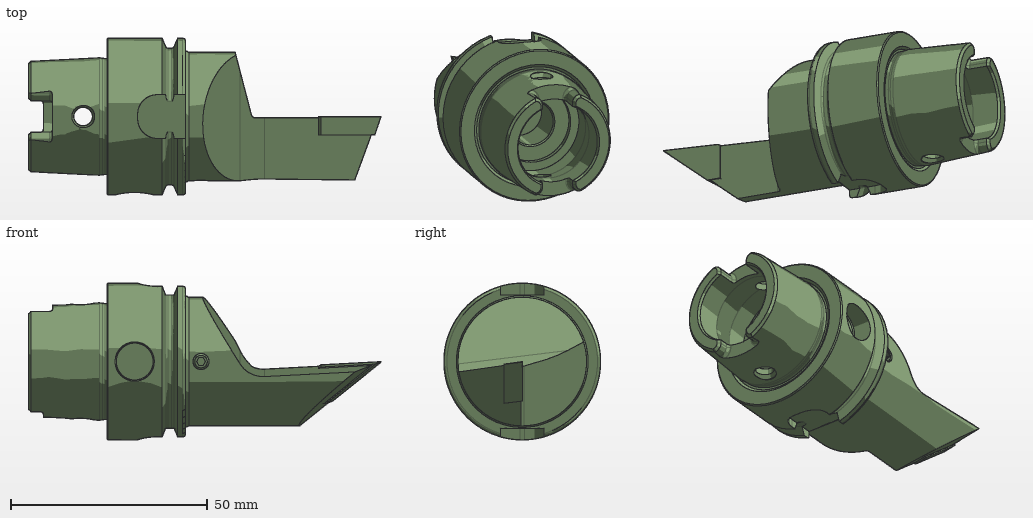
import cadquery as cq
import math

OVERSIZE = 100.0
PICK_MARGIN = 0.1

SHANK_LENGTH = 20.0
TAPER_BIG_RADIUS = 15.0
TAPER_SMALL_RADIUS = 14.1
TAPER_END = 1.9
MOUTH_CHAMFER_LENGTH = 0.7
MOUTH_CHAMFER_HEIGHT = 0.55
RELIEF_RADIUS = 14.8
RELIEF_START = 0.5
RELIEF_BLEND_START = 1.1
RELIEF_BLEND_RADIUS = 14.9
FACE_RELIEF_OUTER = 16.1
FACE_RELIEF_INNER = 15.4
FACE_RELIEF_DEPTH = 0.4

FLANGE_RADIUS = 20.0
FLANGE_LENGTH = 20.1
FLANGE_CHAMFER = 0.3
FLANGE_REAR_FILLET = 0.8
GROOVE_RADIUS = 17.45
GROOVE_START = 14.1
GROOVE_FLOOR_START = 15.17
GROOVE_FLOOR_END = 16.93
GROOVE_FILLET = 0.6
GROOVE_END = 18.05

NECK_RADIUS = 16.4
NECK_COLLAR = 0.4
NECK_COLLAR_LENGTH = 0.8

BORE_RADIUS = 10.6
BORE_MOUTH_CHAMFER_LENGTH = 0.65
BORE_MOUTH_CHAMFER_HEIGHT = 0.4
CLAMP_RECESS_RADIUS = 12.0
CLAMP_CONE_START_X = -12.4
CLAMP_CONE_END_X = -5.2
CLAMP_RECESS_END_X = 0.5
INNER_BORE_RADIUS = 9.8
BORE_FLOOR_X = 2.0
COOLANT_THREAD_RADIUS = 5.7
COOLANT_THREAD_CHAMFER = 0.35
COOLANT_THREAD_FLOOR_X = 12.0
DRILL_POINT_RADIUS = 2.6
DRILL_POINT_ANGLE = 118.0

SLOT_HALF_WIDTH = 4.0
SLOT_LIP_RADIUS = 2.0
SLOT_LIP_Z = 12.8
SLOT_FLOOR_FILLET = 0.8
SLOT_MOUTH_CHAMFER = 0.7
UPPER_SLOT_DEPTH = 6.2
LOWER_SLOT_DEPTH = 3.8

CROSS_HOLE_X = -6.05
CROSS_HOLE_RADIUS = 2.35
CROSS_HOLE_SINK_RADIUS = 2.95
CROSS_HOLE_SINK_DEPTH = 1.1
CROSS_HOLE_SINK_TOP = 14.75

KEY_SEAT_Z = 17.0
KEY_SEAT_HALF_WIDTH = 5.58
KEY_SEAT_END_X = 7.85
KEY_SEAT_CORNER_RADIUS = 5.0

POCKET_X = 7.1
POCKET_RADIUS = 5.0
POCKET_FLOOR_Y = -14.7
POCKET_FLOOR_CHAMFER = 0.3

TIP_X = 69.9
ARM_TILT = 7.0
ARM_RAKE = 3.0
RAMP_ANGLE = 57.6
RAMP_FOOT_X = 36.15
RAMP_FILLET = 7.0
ARM_SIDE_Y = -0.3
SHOULDER_TOP_X = 32.7
SHOULDER_FOOT_X = 37.05
SHOULDER_FILLET = 1.0
END_SLOPE_Y = 0.19
END_SLOPE_Z = 1.24

INSERT_WIDTH = 4.7
INSERT_RISE = 0.3
INSERT_OVERHANG = 0.55
INSERT_LAND = 0.2
INSERT_BACK_X = 53.95
INSERT_BACK_BEVEL = 0.65
INSERT_FLOOR = -10.0

SCREW_X = 24.0
SCREW_RADIUS = 2.05
SCREW_TOP_Y = -16.2
SCREW_LENGTH = 4.0
SCREW_CHAMFER = 0.45
SOCKET_ACROSS_FLATS = 1.95
SOCKET_DEPTH = 1.6


def turned(points):
    """Revolve an (x, radius) outline about the tool axis."""
    return cq.Workplane("XY").polyline(points).close().revolve(360, (0, 0, 0), (1, 0, 0))


def bore_on_side(x, radius, start_y, length):
    """Cylinder along +Y that starts at start_y."""
    plane = cq.Plane(origin=(x, start_y, 0), xDir=(1, 0, 0), normal=(0, 1, 0))
    return cq.Workplane(plane).circle(radius).extrude(length)


def arm_plane():
    """Section plane of the arm, square to the line about which its top face is rolled."""
    tilt = math.radians(ARM_TILT)
    return cq.Plane(origin=(0, 0, 0), xDir=(1, 0, 0), normal=(0, -math.cos(tilt), -math.sin(tilt)))


def top_height(x, rise=0.0):
    """Height of the arm's top face in the arm section plane."""
    return (x - TIP_X) * math.tan(math.radians(ARM_RAKE)) - INSERT_RISE + rise


def beyond_plane(tip_x, slope_y, slope_z):
    """Block beyond the plane x = tip_x + slope_y * y + slope_z * z."""
    plane = cq.Plane(origin=(tip_x, 0, 0), xDir=(slope_y, 1, 0), normal=(1, -slope_y, -slope_z))
    return cq.Workplane(plane).rect(OVERSIZE, OVERSIZE).extrude(OVERSIZE)


def holder_blank():
    neck_start = FLANGE_LENGTH + NECK_COLLAR_LENGTH
    body = turned([
        (-SHANK_LENGTH, 0),
        (-SHANK_LENGTH, TAPER_SMALL_RADIUS - MOUTH_CHAMFER_HEIGHT),
        (-SHANK_LENGTH + MOUTH_CHAMFER_LENGTH, TAPER_SMALL_RADIUS),
        (-TAPER_END, TAPER_BIG_RADIUS),
        (-RELIEF_BLEND_START, RELIEF_BLEND_RADIUS),
        (-RELIEF_START, RELIEF_RADIUS),
        (FACE_RELIEF_DEPTH, RELIEF_RADIUS),
        (FACE_RELIEF_DEPTH, FACE_RELIEF_INNER),
        (0, FACE_RELIEF_OUTER),
        (0, FLANGE_RADIUS - FLANGE_CHAMFER),
        (FLANGE_CHAMFER, FLANGE_RADIUS),
        (GROOVE_START, FLANGE_RADIUS),
        (GROOVE_FLOOR_START, GROOVE_RADIUS),
        (GROOVE_FLOOR_END, GROOVE_RADIUS),
        (GROOVE_END, FLANGE_RADIUS),
        (FLANGE_LENGTH, FLANGE_RADIUS),
        (FLANGE_LENGTH, NECK_RADIUS + NECK_COLLAR),
        (neck_start, NECK_RADIUS),
        (TIP_X, NECK_RADIUS),
        (TIP_X, 0),
    ])
    groove_edges = cq.selectors.BoxSelector(
        (GROOVE_FLOOR_START - PICK_MARGIN, -1, -1), (GROOVE_FLOOR_END + PICK_MARGIN, 1, 1)
    )
    body = body.edges(groove_edges).fillet(GROOVE_FILLET)
    rear_edge = cq.selectors.BoxSelector(
        (FLANGE_LENGTH - PICK_MARGIN, -1, -1), (FLANGE_LENGTH + PICK_MARGIN, 1, 1)
    )
    rear_rim = body.edges(rear_edge).edges(cq.selectors.RadiusNthSelector(-1))
    return rear_rim.fillet(FLANGE_REAR_FILLET)


def shank_bore():
    point_depth = DRILL_POINT_RADIUS / math.tan(math.radians(DRILL_POINT_ANGLE / 2))
    return turned([
        (-SHANK_LENGTH, 0),
        (-SHANK_LENGTH, BORE_RADIUS + BORE_MOUTH_CHAMFER_HEIGHT),
        (-SHANK_LENGTH + BORE_MOUTH_CHAMFER_LENGTH, BORE_RADIUS),
        (CLAMP_CONE_START_X, BORE_RADIUS),
        (CLAMP_CONE_END_X, CLAMP_RECESS_RADIUS),
        (CLAMP_RECESS_END_X, CLAMP_RECESS_RADIUS),
        (CLAMP_RECESS_END_X, INNER_BORE_RADIUS),
        (BORE_FLOOR_X, INNER_BORE_RADIUS),
        (BORE_FLOOR_X, COOLANT_THREAD_RADIUS + COOLANT_THREAD_CHAMFER),
        (BORE_FLOOR_X + COOLANT_THREAD_CHAMFER, COOLANT_THREAD_RADIUS),
        (COOLANT_THREAD_FLOOR_X, COOLANT_THREAD_RADIUS),
        (COOLANT_THREAD_FLOOR_X, DRILL_POINT_RADIUS),
        (COOLANT_THREAD_FLOOR_X + point_depth, 0),
    ])


def slot_outline(x, growth):
    """Drive slot section with rounded lips, grown outward into the walls by a given amount."""
    half_width = SLOT_HALF_WIDTH + growth
    lip_radius = SLOT_LIP_RADIUS - growth
    lip_side = half_width + lip_radius
    lip_foot = SLOT_LIP_Z - SLOT_LIP_RADIUS
    lip_top = lip_foot + lip_radius
    bend = lip_radius * math.sqrt(0.5)
    outside = FLANGE_RADIUS
    return (
        cq.Workplane("YZ", origin=(x, 0, 0))
        .moveTo(-half_width, 0)
        .lineTo(half_width, 0)
        .lineTo(half_width, lip_foot)
        .threePointArc((lip_side - bend, lip_foot + bend), (lip_side, lip_top))
        .lineTo(outside, lip_top)
        .lineTo(outside, outside)
        .lineTo(-outside, outside)
        .lineTo(-outside, lip_top)
        .lineTo(-lip_side, lip_top)
        .threePointArc((bend - lip_side, lip_foot + bend), (-half_width, lip_foot))
        .close()
    )


def drive_slot(depth):
    """Slot cut in from the shank mouth, bevelled at the mouth and filleted at its floor."""
    bevel_end_x = SLOT_MOUTH_CHAMFER - SHANK_LENGTH
    mouth = slot_outline(-SHANK_LENGTH, SLOT_MOUTH_CHAMFER).wire().val()
    throat = slot_outline(bevel_end_x, 0).wire().val()
    bevel = cq.Solid.makeLoft([mouth, throat], True)
    slot = slot_outline(-SHANK_LENGTH, 0).extrude(depth).faces(">X").edges().fillet(SLOT_FLOOR_FILLET)
    return slot.union(bevel)


def cross_hole():
    """Hole along Z through both shank walls, countersunk at each end."""
    outside = FLANGE_RADIUS
    hole = (
        cq.Workplane("XY", origin=(CROSS_HOLE_X, 0, -outside))
        .circle(CROSS_HOLE_RADIUS)
        .extrude(2 * outside)
    )
    sink = (
        cq.Workplane("XY", origin=(CROSS_HOLE_X, 0, CROSS_HOLE_SINK_TOP - CROSS_HOLE_SINK_DEPTH))
        .circle(CROSS_HOLE_RADIUS)
        .workplane(offset=CROSS_HOLE_SINK_DEPTH)
        .circle(CROSS_HOLE_SINK_RADIUS)
        .loft()
        .faces(">Z")
        .wires()
        .toPending()
        .extrude(outside - CROSS_HOLE_SINK_TOP)
    )
    return hole.union(sink).union(sink.mirror("XY"))


def key_seat():
    """Flat-bottomed seat with a rounded end, open toward the arm."""
    length = FLANGE_LENGTH - KEY_SEAT_END_X
    return (
        cq.Workplane("XY", origin=(KEY_SEAT_END_X + length / 2, 0, KEY_SEAT_Z))
        .rect(length, 2 * KEY_SEAT_HALF_WIDTH)
        .extrude(FLANGE_RADIUS)
        .edges("|Z and <X")
        .fillet(KEY_SEAT_CORNER_RADIUS)
    )


def side_pocket():
    length = FLANGE_RADIUS + POCKET_FLOOR_Y
    pocket = bore_on_side(POCKET_X, POCKET_RADIUS, -FLANGE_RADIUS, length)
    return pocket.faces(">Y").edges().chamfer(POCKET_FLOOR_CHAMFER)


def above_arm():
    """Everything above the ramp and the arm's top face."""
    foot_edge = cq.selectors.BoxSelector(
        (RAMP_FOOT_X - PICK_MARGIN, -OVERSIZE, -OVERSIZE),
        (RAMP_FOOT_X + PICK_MARGIN, OVERSIZE, OVERSIZE),
    )
    foot_height = top_height(RAMP_FOOT_X)
    ramp_height = OVERSIZE * math.tan(math.radians(RAMP_ANGLE))
    far_x = RAMP_FOOT_X + OVERSIZE
    return (
        cq.Workplane(arm_plane())
        .moveTo(RAMP_FOOT_X - OVERSIZE, foot_height + ramp_height)
        .lineTo(RAMP_FOOT_X, foot_height)
        .lineTo(far_x, top_height(far_x))
        .lineTo(far_x, foot_height + ramp_height)
        .close()
        .extrude(OVERSIZE, both=True)
        .edges(foot_edge)
        .fillet(RAMP_FILLET)
    )


def beside_arm():
    """Everything on the +Y side of the arm, back to the sloped shoulder."""
    slope = (SHOULDER_TOP_X - SHOULDER_FOOT_X) / (NECK_RADIUS - ARM_SIDE_Y)
    return (
        cq.Workplane("XY", origin=(0, 0, -OVERSIZE / 2))
        .moveTo(SHOULDER_FOOT_X, ARM_SIDE_Y)
        .lineTo(OVERSIZE, ARM_SIDE_Y)
        .lineTo(OVERSIZE, FLANGE_RADIUS)
        .lineTo(SHOULDER_FOOT_X + slope * (FLANGE_RADIUS - ARM_SIDE_Y), FLANGE_RADIUS)
        .close()
        .extrude(OVERSIZE)
        .edges("|Z")
        .edges("<Y")
        .edges("<X")
        .fillet(SHOULDER_FILLET)
    )


def make_insert():
    bevel_top_x = INSERT_BACK_X + INSERT_BACK_BEVEL
    far_x = TIP_X + INSERT_WIDTH
    prism = (
        cq.Workplane(arm_plane())
        .moveTo(INSERT_BACK_X, INSERT_FLOOR)
        .lineTo(INSERT_BACK_X, top_height(INSERT_BACK_X))
        .lineTo(bevel_top_x, top_height(bevel_top_x, INSERT_RISE))
        .lineTo(far_x, top_height(far_x, INSERT_RISE))
        .lineTo(far_x, INSERT_FLOOR)
        .close()
        .extrude(OVERSIZE, both=True)
    )
    width_slab = (
        cq.Workplane("XY")
        .box(2 * OVERSIZE, INSERT_WIDTH, OVERSIZE)
        .translate((0, -INSERT_WIDTH / 2, 0))
    )
    land_slope_y = END_SLOPE_Y + END_SLOPE_Z * math.tan(math.radians(ARM_TILT))
    end_relief = beyond_plane(TIP_X + INSERT_LAND, END_SLOPE_Y, END_SLOPE_Z)
    land = beyond_plane(TIP_X, land_slope_y, 0)
    return prism.intersect(width_slab).cut(end_relief).cut(land)


def make_screw():
    socket_plane = cq.Plane(origin=(SCREW_X, SCREW_TOP_Y, 0), xDir=(1, 0, 0), normal=(0, 1, 0))
    socket = (
        cq.Workplane(socket_plane)
        .polygon(6, SOCKET_ACROSS_FLATS / math.cos(math.pi / 6))
        .extrude(SOCKET_DEPTH)
    )
    shaft = bore_on_side(SCREW_X, SCREW_RADIUS, SCREW_TOP_Y, SCREW_LENGTH)
    return shaft.faces("<Y").edges().chamfer(SCREW_CHAMFER).cut(socket)


insert = make_insert()
screw = make_screw()
screw_floor_y = SCREW_TOP_Y + SCREW_LENGTH
screw_hole = bore_on_side(SCREW_X, SCREW_RADIUS, -FLANGE_RADIUS, FLANGE_RADIUS + screw_floor_y)

holder = holder_blank().cut(shank_bore())
holder = holder.cut(drive_slot(UPPER_SLOT_DEPTH))
holder = holder.cut(drive_slot(LOWER_SLOT_DEPTH).mirror("XY"))
holder = holder.cut(cross_hole())
for seat in (key_seat(), key_seat().mirror("XY")):
    holder = holder.cut(seat)
holder = holder.cut(side_pocket()).cut(screw_hole)
holder = holder.cut(above_arm()).cut(beside_arm())
arm_end_x = TIP_X + INSERT_LAND - INSERT_OVERHANG
holder = holder.cut(beyond_plane(arm_end_x, END_SLOPE_Y, END_SLOPE_Z))
holder = holder.cut(insert)

result = cq.Compound.makeCompound([holder.val(), insert.val(), screw.val()])